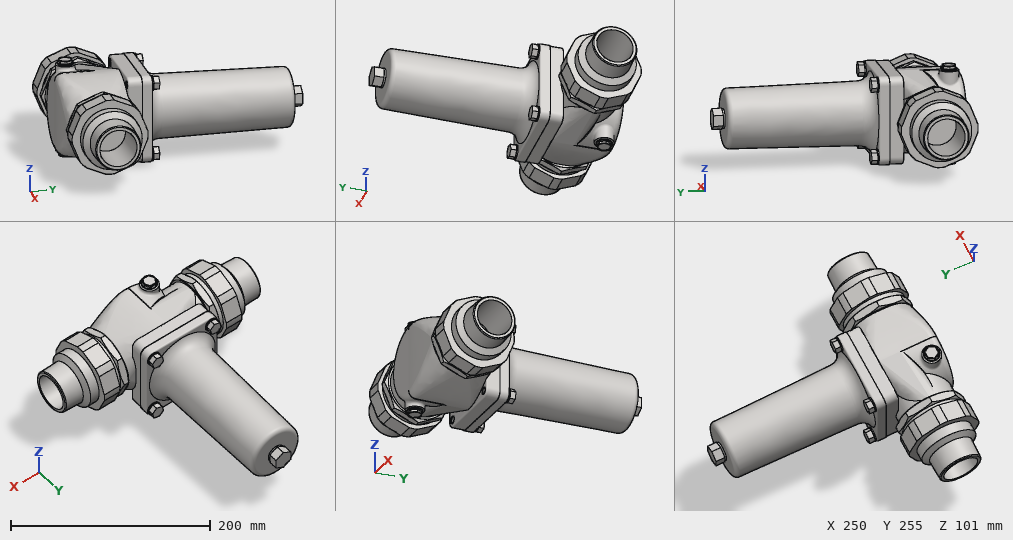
import cadquery as cq
import math

TOTAL_LENGTH_Y = 255.0
TOTAL_HEIGHT_Z = 101.0
OCTAGON_SIDES = 8
OCTAGON_TO_CORNER = math.cos(math.pi / OCTAGON_SIDES)
HEXAGON_SIDES = 6
HEXAGON_TO_CORNER = math.cos(math.pi / HEXAGON_SIDES)

HALF_LENGTH = 125.0
TAIL_ROOT_X = 103.0
COLLAR_BEVEL_X = 98.7
NUT_OUTER_X = 88.0
NUT_INNER_X = 68.0
RING_OUTER_X = 63.5
RING_INNER_X = 53.8
TAIL_TIP_R = 23.2
TAIL_TIP_BEVEL = 1.0
TAIL_ROOT_R = 24.0
COLLAR_R = 61.0 / 2
NECK_R = 68.0 / 2
BORE_R = 38.0 / 2
BORE_DEPTH = 51.0
NUT_R = 39.0
NUT_FLATS = 75.0
RING_R = 37.7
RING_FACE_R = 33.7
RING_BEVEL = 2.0

INLET_R = 32.0
SWIRL_HALF_Y = 16.5
SWIRL_CORNER = 15.3
BODY_BOTTOM = -36.7
BODY_TOP = 35.7
BODY_HALF_Z = 42.0
BODY_CORNER = 8.2
CHAMBER_BOTTOM = -3.8
BOWL_R = 41.3
BOWL_FILLET = 7.0
BOWL_RIM_MIDDLE = 2.5
BOWL_RIM_SIDE = -15.3
OUTLET_HALF_Y = 35.2
OUTLET_HALF_Z = 31.0
OUTLET_CORNER = 30.5
OUTLET_SHOULDER_X = 20.5
OUTLET_SHOULDER_HALF_Z = 40.3
OUTLET_SHOULDER_CORNER = 12.8

FLANGE_SIDE = 89.8
COVER_SIDE = 90.8
FLANGE_CORNER = 8.2
FLANGE_BOTTOM = 28.5
FLANGE_SPLIT = 43.0
COVER_TOP = 53.8
FLANGE_EDGE = 1.8

BOLT_SPACING = 74.0
BOLT_D = 6.6
BOLT_HOLE_D = 8.0
BOLT_HOLE_DEPTH = 2.5
BOLT_END_RECESS = 0.8
BOLT_HEAD_FLATS = 12.8
BOLT_HEAD_TURN = 15
BOLT_HEAD_TOP = 61.2
WASHER_D = 15.3
WASHER_THICKNESS = 1.3

FLARE_R = 42.0
FLARE_MIDDLE_R = 34.5
FLARE_MIDDLE_Y = 60.7
HOUSING_BASE_Y = 68.0
HOUSING_BASE_R = 32.6
HOUSING_TOP_Y = 204.3
HOUSING_TOP_R = 30.5
HOUSING_FILLET = 4.8
STEM_WASHER_D = 20.0
STEM_WASHER_TOP = 206.0
STEM_FLATS = 19.0
STEM_TOP = TOTAL_LENGTH_Y - NUT_R

PORT_X = -17.9
PORT_Y = -21.7
PORT_D = 20.0
PORT_TOP = 45.1
PORT_FILLET = 2.5
PLUG_NECK_D = 14.8
PLUG_COLLAR_D = 16.5
PLUG_COLLAR_BOTTOM = 46.0
PLUG_COLLAR_TOP = 47.0
PLUG_TOOTH_GAPS = 24
PLUG_TOOTH_GAP_D = 1.0
PLUG_CAP_D = 13.8
PLUG_CAP_THICKNESS = 0.8
PLUG_FLATS = 11.7
PLUG_TOP = TOTAL_HEIGHT_Z / 2


def along_x(x):
    return cq.Workplane("YZ", origin=(x, 0, 0))


def along_y(y):
    return cq.Workplane(cq.Plane(origin=(0, y, 0), xDir=(1, 0, 0), normal=(0, 1, 0)))


def revolve_about_x(outline):
    """Turn a closed outline of (x, radius) points around the pipe axis."""
    return cq.Workplane("XY").polyline(outline).close().revolve(360, (0, 0, 0), (1, 0, 0))


def octagon(start_x, length, corner_diameter):
    """Octagonal bar on the pipe axis with a corner on the Y axis."""
    return along_x(start_x).polygon(OCTAGON_SIDES, corner_diameter).extrude(length)


def union_end():
    """Tail pipe, collar, union nut, neck and octagonal ring on the +X end."""
    profile = [
        (RING_INNER_X, 0),
        (RING_INNER_X, NECK_R),
        (NUT_INNER_X, NECK_R),
        (NUT_INNER_X, COLLAR_R),
        (COLLAR_BEVEL_X, COLLAR_R),
        (TAIL_ROOT_X, TAIL_ROOT_R),
        (HALF_LENGTH - TAIL_TIP_BEVEL, TAIL_TIP_R),
        (HALF_LENGTH, TAIL_TIP_R - TAIL_TIP_BEVEL),
        (HALF_LENGTH, 0),
    ]
    turned = revolve_about_x(profile)

    nut_length = NUT_OUTER_X - NUT_INNER_X
    nut = octagon(NUT_INNER_X, nut_length, NUT_FLATS / OCTAGON_TO_CORNER)
    nut = nut.intersect(along_x(NUT_INNER_X).circle(NUT_R).extrude(nut_length))

    ring_envelope = [
        (RING_INNER_X, 0),
        (RING_INNER_X, RING_FACE_R),
        (RING_INNER_X + RING_BEVEL, RING_R),
        (RING_OUTER_X - RING_BEVEL, RING_R),
        (RING_OUTER_X, RING_FACE_R),
        (RING_OUTER_X, 0),
    ]
    ring = octagon(RING_INNER_X, RING_OUTER_X - RING_INNER_X, 2 * RING_R)
    ring = ring.intersect(revolve_about_x(ring_envelope))

    bore = along_x(HALF_LENGTH - BORE_DEPTH).circle(BORE_R).extrude(BORE_DEPTH)
    return turned.union(nut).union(ring).cut(bore)


def section(x, bottom, top, half_z, corner):
    """Rounded rectangle across the pipe axis."""
    outline = cq.Sketch().rect(top - bottom, 2 * half_z).vertices().fillet(corner)
    plane = cq.Plane(origin=(x, (bottom + top) / 2, 0), xDir=(0, 1, 0), normal=(1, 0, 0))
    return outline.moved(cq.Location(plane))


def loft_sections(sections, ruled):
    return cq.Workplane("XY").placeSketch(*sections).loft(ruled=ruled)


def inlet_chamber():
    """Round inlet tube with a lobe on it that rises into the upper chamber."""
    rising = loft_sections(
        [
            section(-RING_INNER_X, -SWIRL_HALF_Y, SWIRL_HALF_Y, INLET_R, SWIRL_CORNER),
            section(0, CHAMBER_BOTTOM, BODY_TOP, BODY_HALF_Z, BODY_CORNER),
        ],
        True,
    )
    tube = along_x(-RING_INNER_X).circle(INLET_R).extrude(RING_INNER_X)
    return rising.union(tube)


def outlet_chamber():
    """Full-depth middle of the body narrowing to the outlet ring."""
    return loft_sections(
        [
            section(0, BODY_BOTTOM, BODY_TOP, BODY_HALF_Z, BODY_CORNER),
            section(
                OUTLET_SHOULDER_X, BODY_BOTTOM, BODY_TOP, OUTLET_SHOULDER_HALF_Z, OUTLET_SHOULDER_CORNER
            ),
            section(RING_INNER_X, -OUTLET_HALF_Y, OUTLET_HALF_Y, OUTLET_HALF_Z, OUTLET_CORNER),
        ],
        False,
    )


def bowl():
    """Half-round bowl on the inlet side, its rim sloping down toward the inlet."""
    drum = along_y(BODY_BOTTOM).circle(BOWL_R).extrude(BOWL_RIM_MIDDLE - BODY_BOTTOM)
    drum = drum.faces("<Y").edges().fillet(BOWL_FILLET)
    side_outline = [
        (0, BODY_BOTTOM),
        (0, BOWL_RIM_MIDDLE),
        (-BOWL_R, BOWL_RIM_SIDE),
        (-BOWL_R, BODY_BOTTOM),
    ]
    wedge = cq.Workplane("XY").polyline(side_outline).close().extrude(BOWL_R, both=True)
    return drum.intersect(wedge)


def square_plate(bottom, top, side, edge_selector):
    plate = along_y(bottom).rect(side, side).extrude(top - bottom)
    plate = plate.edges("|Y").fillet(FLANGE_CORNER)
    return plate.faces(edge_selector).edges().fillet(FLANGE_EDGE)


def flange_and_cover():
    flange = square_plate(FLANGE_BOTTOM, FLANGE_SPLIT, FLANGE_SIDE, "<Y")
    cover = square_plate(FLANGE_SPLIT, COVER_TOP, COVER_SIDE, ">Y")
    return flange.union(cover)


def at_bolts(y):
    return along_y(y).rect(BOLT_SPACING, BOLT_SPACING, forConstruction=True).vertices()


def bolt_holes():
    return at_bolts(FLANGE_BOTTOM).circle(BOLT_HOLE_D / 2).extrude(BOLT_HOLE_DEPTH)


def bolts():
    end_y = FLANGE_BOTTOM + BOLT_END_RECESS
    washer_top = COVER_TOP + WASHER_THICKNESS
    shanks = at_bolts(end_y).circle(BOLT_D / 2).extrude(washer_top - end_y)
    washers = at_bolts(COVER_TOP).circle(WASHER_D / 2).extrude(WASHER_THICKNESS)
    head_corner_r = BOLT_HEAD_FLATS / 2 / HEXAGON_TO_CORNER
    head_outline = cq.Sketch().regularPolygon(head_corner_r, HEXAGON_SIDES, BOLT_HEAD_TURN)
    heads = at_bolts(washer_top).placeSketch(head_outline).extrude(BOLT_HEAD_TOP - washer_top)
    return shanks.union(washers).union(heads)


def spring_housing():
    """Tapered housing with a flared foot and a hexagon on top."""
    shell = (
        cq.Workplane("XY")
        .moveTo(0, FLANGE_SPLIT)
        .lineTo(FLARE_R, FLANGE_SPLIT)
        .lineTo(FLARE_R, COVER_TOP)
        .threePointArc((FLARE_MIDDLE_R, FLARE_MIDDLE_Y), (HOUSING_BASE_R, HOUSING_BASE_Y))
        .lineTo(HOUSING_TOP_R, HOUSING_TOP_Y)
        .lineTo(0, HOUSING_TOP_Y)
        .close()
        .revolve(360, (0, 0, 0), (0, 1, 0))
    )
    shell = shell.faces(">Y").edges().fillet(HOUSING_FILLET)
    washer = along_y(HOUSING_TOP_Y).circle(STEM_WASHER_D / 2).extrude(STEM_WASHER_TOP - HOUSING_TOP_Y)
    hexagon = along_y(STEM_WASHER_TOP).transformed(rotate=(0, 0, 90))
    hexagon = hexagon.polygon(HEXAGON_SIDES, STEM_FLATS / HEXAGON_TO_CORNER)
    hexagon = hexagon.extrude(STEM_TOP - STEM_WASHER_TOP)
    return shell.union(washer).union(hexagon)


def at_port(z):
    return cq.Workplane("XY", origin=(PORT_X, PORT_Y, z))


def port_root_box(side):
    """Selects the edges where a boss meets the body, leaving out the rim of the boss."""
    reach = PORT_D / 2 + PORT_FILLET
    return cq.selectors.BoxSelector(
        (PORT_X - reach, PORT_Y - reach, 0),
        (PORT_X + reach, PORT_Y + reach, side * (PORT_TOP - PORT_FILLET)),
        boundingbox=True,
    )


def body_with_ports():
    """Cast body with a boss on the +Z and -Z sides, blended into it."""
    body = outlet_chamber().union(inlet_chamber()).union(bowl())
    body = body.union(at_port(0).circle(PORT_D / 2).extrude(PORT_TOP, both=True))
    for side in (1, -1):
        body = body.edges(port_root_box(side)).fillet(PORT_FILLET)
    return body


def plug():
    """Plug in the +Z port: neck, toothed collar, hexagon and cap."""
    collar_thickness = PLUG_COLLAR_TOP - PLUG_COLLAR_BOTTOM
    cap_bottom = PLUG_TOP - PLUG_CAP_THICKNESS
    neck = at_port(PORT_TOP).circle(PLUG_NECK_D / 2).extrude(PLUG_COLLAR_BOTTOM - PORT_TOP)
    collar = at_port(PLUG_COLLAR_BOTTOM).circle(PLUG_COLLAR_D / 2).extrude(collar_thickness)
    gaps = at_port(PLUG_COLLAR_BOTTOM).polarArray(PLUG_COLLAR_D / 2, 0, 360, PLUG_TOOTH_GAPS)
    gaps = gaps.circle(PLUG_TOOTH_GAP_D / 2).extrude(collar_thickness)
    hexagon = at_port(PLUG_COLLAR_TOP).polygon(HEXAGON_SIDES, PLUG_FLATS / HEXAGON_TO_CORNER)
    hexagon = hexagon.extrude(cap_bottom - PLUG_COLLAR_TOP)
    cap = at_port(cap_bottom).circle(PLUG_CAP_D / 2).extrude(PLUG_CAP_THICKNESS)
    return neck.union(collar.cut(gaps)).union(hexagon).union(cap)


outlet_union = union_end()
inlet_union = outlet_union.mirror("YZ")
top_plug = plug()
bottom_plug = top_plug.mirror("XY")

result = body_with_ports()
result = result.union(flange_and_cover()).cut(bolt_holes()).union(bolts())
result = result.union(spring_housing())
result = result.union(top_plug).union(bottom_plug)
result = result.union(outlet_union).union(inlet_union)